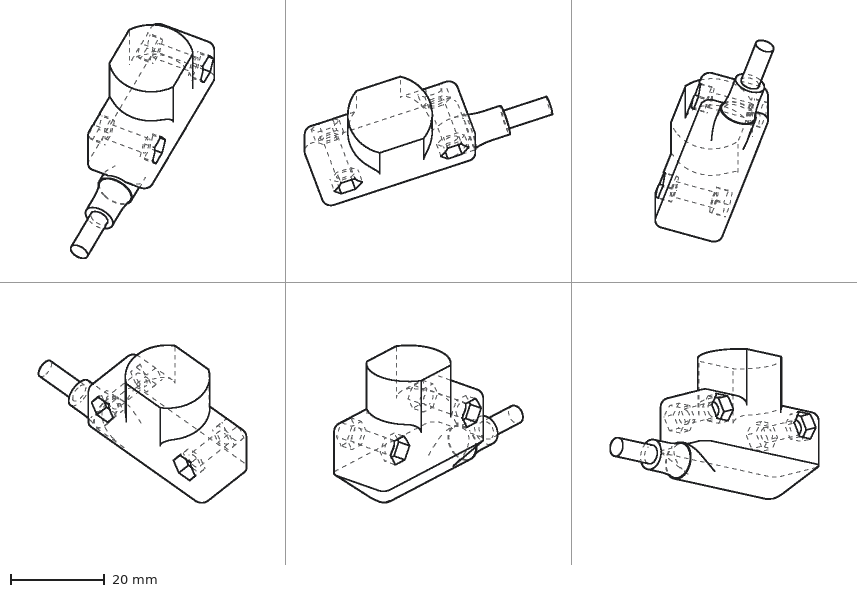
import cadquery as cq
import math

WIDTH = 15.0
LENGTH = 34.5
BLOCK_TOP = 15.1
SHOULDER_Z = 3.4
KEEL_RADIUS = 4.0
EDGE_RADIUS = 2.0
SLOPE_EDGE_RADIUS = 2.55

HEAD_DIAMETER = 18.0
HEAD_TOP = 25.3

HOLE_DIAMETER = 3.3
HOLE_SPACING = 24.05
HOLE_Z = 11.4
NUT_ACROSS_FLATS = 5.5
NUT_DEPTH = 3.0

COLLAR_END = 18.0
TAPER_END = 22.0
SLEEVE_END = 26.0
CABLE_END = 36.0
TAPER_RADIUS = 3.8
SLEEVE_RADIUS = 3.25
CABLE_RADIUS = 2.0

half_width = WIDTH / 2
half_length = LENGTH / 2


def make_housing():
    """Round-bottomed V section with sloping lower ends and rounded edges."""
    shoulder_distance = math.hypot(half_width, SHOULDER_Z)
    shoulder_angle = math.atan2(SHOULDER_Z, half_width)
    tangent_angle = shoulder_angle - math.acos(KEEL_RADIUS / shoulder_distance)
    tangent_x = KEEL_RADIUS * math.cos(tangent_angle)
    tangent_z = KEEL_RADIUS * math.sin(tangent_angle)
    section = (
        cq.Workplane("XZ")
        .moveTo(-half_width, BLOCK_TOP)
        .lineTo(half_width, BLOCK_TOP)
        .lineTo(half_width, SHOULDER_Z)
        .lineTo(tangent_x, tangent_z)
        .threePointArc((0, -KEEL_RADIUS), (-tangent_x, tangent_z))
        .lineTo(-half_width, SHOULDER_Z)
        .close()
        .extrude(half_length, both=True)
    )
    slope_run = SHOULDER_Z + KEEL_RADIUS
    side_outline = (
        cq.Workplane("YZ")
        .polyline([
            (-half_length, BLOCK_TOP),
            (half_length, BLOCK_TOP),
            (half_length, SHOULDER_Z),
            (half_length - slope_run, -KEEL_RADIUS),
            (slope_run - half_length, -KEEL_RADIUS),
            (-half_length, SHOULDER_Z),
        ])
        .close()
        .extrude(half_width, both=True)
    )
    block = section.intersect(side_outline)
    slope_edges = (
        block.faces(cq.selectors.BoxSelector(
            (-half_width, -half_length, -KEEL_RADIUS),
            (half_width, half_length, SHOULDER_Z),
        ))
        .faces("#X")
        .faces("%PLANE")
        .edges("not(|X)")
    )
    block = slope_edges.fillet(SLOPE_EDGE_RADIUS)
    end_corners = block.edges("|Z")
    top_edges = block.faces(">Z").edges()
    return block.newObject(end_corners.vals() + top_edges.vals()).fillet(EDGE_RADIUS)


def make_head():
    """Upright stud trimmed to the housing width."""
    stud = cq.Workplane("XY").circle(HEAD_DIAMETER / 2).extrude(HEAD_TOP)
    flats = cq.Workplane("XY").rect(WIDTH, HEAD_DIAMETER).extrude(HEAD_TOP)
    lower_trim = cq.Workplane("XY").rect(WIDTH, HEAD_DIAMETER).extrude(SHOULDER_Z)
    return stud.intersect(flats).cut(lower_trim)


def make_cable_outlet():
    """Collar, concave taper, sleeve and cable as one turned body."""
    taper_length = TAPER_END - COLLAR_END
    taper_drop = TAPER_RADIUS - SLEEVE_RADIUS
    return (
        cq.Workplane("XY")
        .moveTo(0, 0)
        .lineTo(KEEL_RADIUS, 0)
        .lineTo(KEEL_RADIUS, -COLLAR_END)
        .lineTo(TAPER_RADIUS, -COLLAR_END)
        .threePointArc(
            (SLEEVE_RADIUS + taper_drop / 4, -COLLAR_END - taper_length / 2),
            (SLEEVE_RADIUS, -TAPER_END),
        )
        .lineTo(SLEEVE_RADIUS, -SLEEVE_END)
        .lineTo(CABLE_RADIUS, -SLEEVE_END)
        .lineTo(CABLE_RADIUS, -CABLE_END)
        .lineTo(0, -CABLE_END)
        .close()
        .revolve(360, (0, 0, 0), (0, 1, 0))
    )


def make_mounting_cutter(y):
    """Through hole along X with a nut pocket sunk into each side."""
    nut_diameter = NUT_ACROSS_FLATS / math.cos(math.pi / 6)
    hole = (
        cq.Workplane("YZ")
        .center(y, HOLE_Z)
        .circle(HOLE_DIAMETER / 2)
        .extrude(half_width, both=True)
    )
    nut = (
        cq.Workplane("YZ", origin=(-half_width, 0, 0))
        .center(y, HOLE_Z)
        .polygon(6, nut_diameter)
        .extrude(NUT_DEPTH)
    )
    return hole.union(nut).union(nut.mirror("YZ"))


result = make_housing().union(make_head()).union(make_cable_outlet())
for side in (-1, 1):
    result = result.cut(make_mounting_cutter(side * HOLE_SPACING / 2))